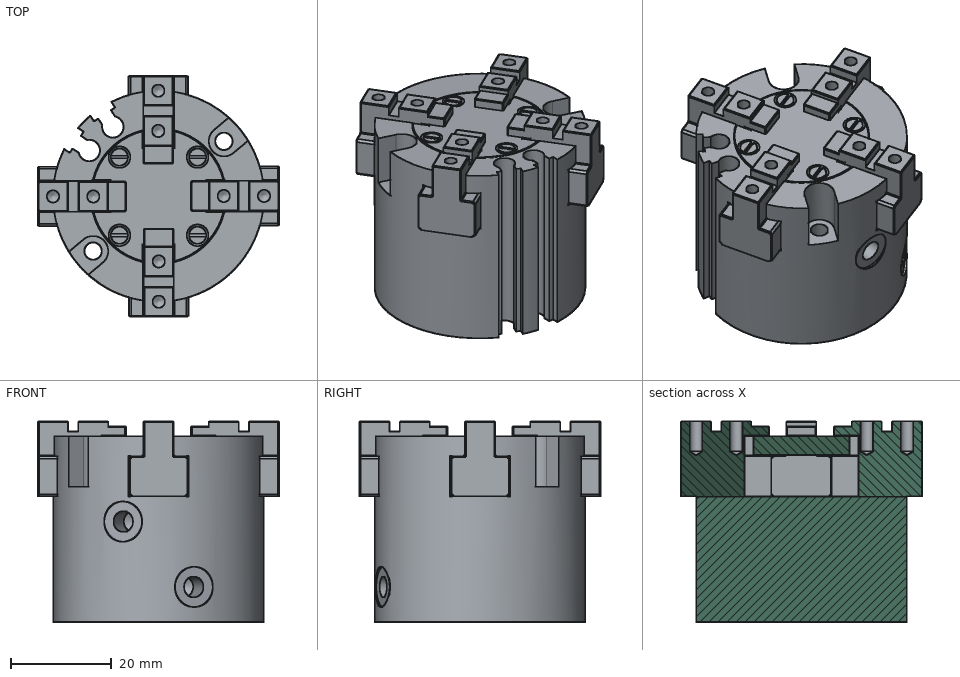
import cadquery as cq
import math

housing_diameter = 42.0
housing_height = 37.0
overall_radius = 24.0
overall_height = 40.0

jaw_count = 4
stem_width = 6.0
base_width = 11.9
side_clearance = 0.1
base_bottom_z = 25.0
base_top_z = 33.0
stem_inner_radius = 11.35
overhang_inner_radius = 6.45
overhang_gap = 0.15
step_drop = 1.0
step_outer_radius = 10.0
notch_inner_radius = 16.0
notch_outer_radius = 18.0
notch_depth = 2.0
base_chamfer = 0.5
foot_chamfer = 0.2
end_chamfer = 0.25
edge_chamfer = 0.2
jaw_hole_diameter = 2.45
jaw_hole_depth = 6.0
jaw_hole_radii = (
    (notch_outer_radius + overall_radius) / 2,
    (step_outer_radius + notch_inner_radius) / 2,
)
drill_angle = 118.0

cover_diameter = 27.0
cover_chamfer = 0.2
cover_slot_width = 6.4
cover_slot_inner_radius = 9.6

screw_count = 4
screw_first_angle = 45.0
screw_circle_radius = 11.0
screw_diameter = 3.4
screw_length = 3.0
screw_slot_width = 0.55
screw_slot_depth = 0.5
countersink_diameter = 4.3

mount_angles = (40.0, 220.0)
mount_circle_radius = 17.0
mount_hole_diameter = 3.4
mount_slot_width = 6.0
mount_slot_depth = 10.05

sensor_angles = (123.4, 146.6)
sensor_circle_radius = 16.5
sensor_bore_diameter = 4.2
sensor_neck_width = 3.0
sensor_channel_width = 5.0
sensor_channel_depth = 1.5

ports = ((250.0, 20.0), (290.0, 7.0))
port_hole_diameter = 4.15
port_hole_depth = 6.0
port_face_diameter = 8.0
port_face_radius = 20.5

housing_radius = housing_diameter / 2
cover_bottom_z = base_top_z + foot_chamfer
cover_thickness = housing_height - cover_bottom_z
screw_bottom_z = housing_height - screw_length


def turn(body, angle):
    """Turn a body around the Z axis."""
    return body.rotate((0, 0, 0), (0, 0, 1), angle)


def box(x_range, width, z_range):
    """Block centred on the X axis, between two X and two Z positions."""
    x_min, x_max = x_range
    z_min, z_max = z_range
    block = cq.Workplane("XY").box(x_max - x_min, width, z_max - z_min, centered=(False, True, False))
    return block.translate((x_min, 0, z_min))


def cylinder(diameter, height, x=0.0, z=0.0):
    """Upright cylinder standing at height z, its axis x away from the Z axis."""
    return cq.Workplane("XY").center(x, 0).circle(diameter / 2).extrude(height).translate((0, 0, z))


def symmetric_bar(right_side, x_min, x_max):
    """Bar along X whose section is a half outline of (y, z) points and its mirror image."""
    left_side = [(-y, z) for y, z in reversed(right_side)]
    section = cq.Workplane("YZ", origin=(x_min, 0, 0)).polyline(right_side + left_side).close()
    return section.extrude(x_max - x_min)


def drill(diameter, depth):
    """Drilled hole pointing down from the origin, with a conical tip below its full depth."""
    radius = diameter / 2
    tip = radius / math.tan(math.radians(drill_angle / 2))
    outline = cq.Workplane("XZ").polyline([(0, 0), (radius, 0), (radius, -depth), (0, -depth - tip)])
    return outline.close().revolve(360, (0, 0, 0), (0, 1, 0))


def make_jaw():
    """One jaw, sliding along +X and resting against the +Y wall of its slot."""
    half_stem = stem_width / 2
    half_base = base_width / 2
    half_flat = half_base - base_chamfer
    right_side = [
        (half_flat, base_bottom_z),
        (half_base, base_bottom_z + base_chamfer),
        (half_base, base_top_z - base_chamfer),
        (half_flat, base_top_z),
        (half_stem + foot_chamfer, base_top_z),
        (half_stem, base_top_z + foot_chamfer),
        (half_stem, overall_height),
    ]
    jaw = symmetric_bar(right_side, overhang_inner_radius, overall_radius)

    overhang_z = housing_height + overhang_gap
    step_z = overall_height - step_drop
    jaw = jaw.cut(box((0, stem_inner_radius), base_width, (0, overhang_z)))
    jaw = jaw.cut(box((0, step_outer_radius), base_width, (step_z, overall_height)))
    notch_z = overall_height - notch_depth
    jaw = jaw.cut(box((notch_inner_radius, notch_outer_radius), stem_width, (notch_z, overall_height)))

    jaw = jaw.faces(">X").edges("not (>Z or <Z)").chamfer(end_chamfer)
    jaw = jaw.faces(">Z").edges().chamfer(edge_chamfer)
    jaw = jaw.faces("<X").edges("|Z").chamfer(end_chamfer)
    step_middle = ((overhang_inner_radius + step_outer_radius) / 2, 0, step_z)
    step_face = jaw.faces(cq.selectors.NearestToPointSelector(step_middle))
    jaw = step_face.edges("not >X").chamfer(edge_chamfer)

    for x in jaw_hole_radii:
        jaw = jaw.cut(drill(jaw_hole_diameter, jaw_hole_depth).translate((x, 0, overall_height)))
    return jaw.translate((0, side_clearance / 2, 0))


def make_jaws():
    return [turn(make_jaw(), i * 360 / jaw_count) for i in range(jaw_count)]


def at_screw_places(shape):
    """Copies of a shape made on the Z axis, moved to the screw places without turning."""
    copies = []
    for i in range(screw_count):
        angle = math.radians(screw_first_angle + i * 360 / screw_count)
        x = screw_circle_radius * math.cos(angle)
        y = screw_circle_radius * math.sin(angle)
        copies.append(shape.translate((x, y, 0)))
    return copies


def make_screws():
    """Screws flush with the cover, their driver slots all along X."""
    screw = cylinder(screw_diameter, screw_length, z=screw_bottom_z)
    slot_z = (housing_height - screw_slot_depth, housing_height)
    slot = box((-screw_diameter, screw_diameter), screw_slot_width, slot_z)
    return at_screw_places(screw.cut(slot))


def make_cover():
    """Cover disc with a bevelled rim, four jaw slots and four countersunk screw holes."""
    cover = cylinder(cover_diameter, cover_thickness, z=cover_bottom_z)
    cover = cover.faces(">Z").edges().chamfer(cover_chamfer)

    slot = box((cover_slot_inner_radius, cover_diameter), cover_slot_width, (cover_bottom_z, housing_height))
    for i in range(jaw_count):
        cover = cover.cut(turn(slot, i * 360 / jaw_count))

    screw_radius = screw_diameter / 2
    sink_radius = countersink_diameter / 2
    hole_outline = [
        (0, screw_bottom_z),
        (screw_radius, screw_bottom_z),
        (screw_radius, housing_height - (sink_radius - screw_radius)),
        (sink_radius, housing_height),
        (0, housing_height),
    ]
    hole = cq.Workplane("XZ").polyline(hole_outline).close().revolve(360, (0, 0, 0), (0, 1, 0))
    for screw_hole in at_screw_places(hole):
        cover = cover.cut(screw_hole)
    return cover


def jaw_slot():
    """T-slot from the centre outward along +X, open at the top of the housing."""
    half_stem = (stem_width + side_clearance) / 2
    half_base = (base_width + side_clearance) / 2
    right_side = [
        (half_base, base_bottom_z),
        (half_base, base_top_z),
        (half_stem + foot_chamfer, base_top_z),
        (half_stem, base_top_z + foot_chamfer),
        (half_stem, housing_height),
    ]
    return symmetric_bar(right_side, 0, overall_radius)


def mount_cut():
    """Through hole under a round-ended counterbore that opens outward along +X."""
    slot_z = (housing_height - mount_slot_depth, housing_height)
    cut = cylinder(mount_hole_diameter, housing_height, x=mount_circle_radius)
    cut = cut.union(cylinder(mount_slot_width, mount_slot_depth, x=mount_circle_radius, z=slot_z[0]))
    return cut.union(box((mount_circle_radius, overall_radius), mount_slot_width, slot_z))


def sensor_groove():
    """Keyhole groove opening outward along +X, with a wider channel at its mouth."""
    full_height = (0, housing_height)
    channel_floor = housing_radius - sensor_channel_depth
    groove = cylinder(sensor_bore_diameter, housing_height, x=sensor_circle_radius)
    groove = groove.union(box((sensor_circle_radius, overall_radius), sensor_neck_width, full_height))
    return groove.union(box((channel_floor, overall_radius), sensor_channel_width, full_height))


def port_cut(height):
    """Flat port face with a drilled hole running inward from +X."""
    face = cylinder(port_face_diameter, overall_radius - port_face_radius)
    cut = face.union(drill(port_hole_diameter, port_hole_depth))
    return cut.rotate((0, 0, 0), (0, 1, 0), 90).translate((port_face_radius, 0, height))


def make_housing():
    housing = cylinder(housing_diameter, housing_height)
    housing = housing.cut(cylinder(cover_diameter, cover_thickness, z=cover_bottom_z))
    for i in range(jaw_count):
        housing = housing.cut(turn(jaw_slot(), i * 360 / jaw_count))
    for angle in mount_angles:
        housing = housing.cut(turn(mount_cut(), angle))
    for angle in sensor_angles:
        housing = housing.cut(turn(sensor_groove(), angle))
    for angle, height in ports:
        housing = housing.cut(turn(port_cut(height), angle))
    return housing


housing = make_housing()
cover = make_cover()
jaws = make_jaws()
screws = make_screws()

bodies = [housing, cover, *jaws, *screws]
result = cq.Compound.makeCompound([body.val() for body in bodies])